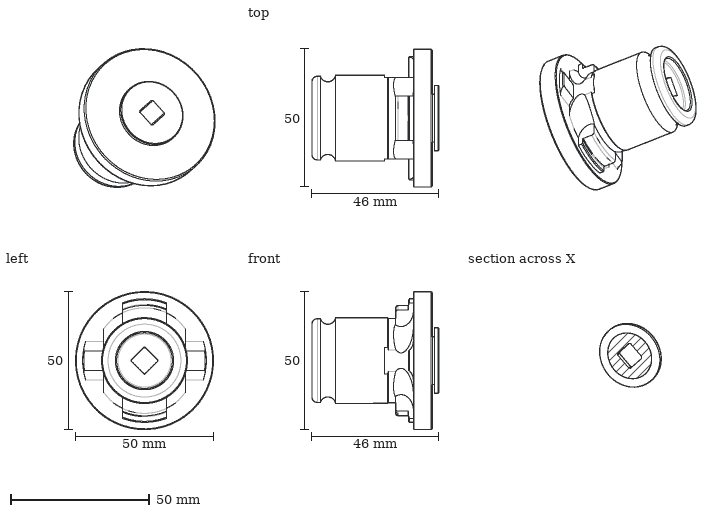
import cadquery as cq
import math

RIM_ROUND = 2.0
GROOVE_START = 3.1
GROOVE_BOTTOM = 5.85
BODY_START = 8.55
FLATS_START = 26.3
BODY_END = 27.4
NECK_START = 27.7
LUG_START = 30.3
STEP_START = 35.0
FLANGE_START = 36.7
FLANGE_END = 43.65
DISC_START = 44.3
TOTAL_LENGTH = 46.0

RIM_RADIUS = 15.2
GROOVE_RADIUS = 13.2
BODY_RADIUS = 15.55
NECK_RADIUS = 15.3
FLANGE_RADIUS = 25.0
LUG_RADIUS = 20.0
STEP_RADIUS = 22.4
SPIGOT_RADIUS = 8.7
DISC_RADIUS = 11.9
EDGE_CHAMFER = 0.3
FLANGE_REAR_CHAMFER = 0.5
STEP_CHAMFER = 0.4

FLAT_HALF_WIDTH = 14.8
LUG_HALF_WIDTH = 8.0
LUG_ROUND = 0.9
LUG_CORNER_ROUND = 0.3

BLEND_RADIUS = 4.4
BLEND_PATH_RADIUS = 25.0
BLEND_FLOOR_RADIUS = 14.35
BLEND_ANGLE = 38.0
FLARE_RADIUS = 19.0

RIB_TOP_HALF_WIDTH = 3.5
RIB_BASE_HALF_WIDTH = 6.95

RECESS_RADIUS = 10.1
RECESS_CHAMFER = 0.45
RECESS_DEPTH = 3.0
RECESS_FLOOR_ROUND = 0.5
SQUARE_SIDE = 7.0
SQUARE_END = 20.0
REAR_CORNER_RADIUS = 4.65
SQUARE_TILT = 45.0


def cylinder(radius, start, end):
    """Cylinder about the X axis between two axial stations."""
    return cq.Workplane("YZ", origin=(start, 0, 0)).circle(radius).extrude(end - start)


def slab(start, end, size_y, size_z):
    """Box centred on the X axis between two axial stations."""
    return cq.Workplane("YZ", origin=(start, 0, 0)).rect(size_y, size_z).extrude(end - start)


def make_body():
    """Rim, retaining groove and cylindrical body, revolved about X."""
    rim_dip = RIM_ROUND * (1 - math.sqrt(0.5))
    profile = (
        cq.Workplane("XY")
        .moveTo(0, 0)
        .lineTo(0, RIM_RADIUS - RIM_ROUND)
        .threePointArc((rim_dip, RIM_RADIUS - rim_dip), (RIM_ROUND, RIM_RADIUS))
        .lineTo(GROOVE_START, RIM_RADIUS)
        .threePointArc((GROOVE_BOTTOM, GROOVE_RADIUS), (BODY_START, BODY_RADIUS))
        .lineTo(BODY_END, BODY_RADIUS)
        .lineTo(NECK_START, NECK_RADIUS)
        .lineTo(FLANGE_START, NECK_RADIUS)
        .lineTo(FLANGE_START, 0)
        .close()
    )
    return profile.revolve(360, (0, 0, 0), (1, 0, 0))


def make_blend_channels():
    """Four round-bottomed channels whose gently curved floors run from the flats to the lugs."""
    centre_x = FLANGE_START - BLEND_RADIUS
    centre_r = BLEND_PATH_RADIUS + BLEND_RADIUS
    outer_r = centre_r + FLARE_RADIUS - BLEND_FLOOR_RADIUS
    ring = (
        cq.Workplane("XY")
        .moveTo(centre_x - BLEND_RADIUS, outer_r)
        .lineTo(centre_x - BLEND_RADIUS, centre_r)
        .threePointArc((centre_x, BLEND_PATH_RADIUS), (FLANGE_START, centre_r))
        .lineTo(FLANGE_START, outer_r)
        .close()
        .revolve(360, (0, 0, 0), (1, 0, 0))
    )
    offset = BLEND_PATH_RADIUS - BLEND_FLOOR_RADIUS
    angle = math.radians(BLEND_ANGLE)
    channels = []
    for side_y in (1, -1):
        for side_z in (1, -1):
            shift = (0, -side_y * offset * math.cos(angle), -side_z * offset * math.sin(angle))
            channels.append(ring.translate(shift))
    return channels


def make_shank():
    """Body with a neck flaring into the flange and two flats facing +Y and -Y."""
    flare = cylinder(FLARE_RADIUS, FLANGE_START - BLEND_RADIUS, FLANGE_START)
    shank = make_body().union(flare)
    for channel in make_blend_channels():
        shank = shank.cut(channel)
    flats_envelope = slab(FLATS_START, FLANGE_START, 2 * FLAT_HALF_WIDTH, 2 * FLANGE_RADIUS)
    front_envelope = cylinder(FLANGE_RADIUS, 0, FLATS_START)
    return shank.intersect(front_envelope.union(flats_envelope))


def make_lugs():
    """Two stepped lugs on the +Z and -Z sides, rounded at the front edge and under the step."""
    corner_start = STEP_START - LUG_CORNER_ROUND
    corner_top = LUG_RADIUS + LUG_CORNER_ROUND
    stepped = (
        cq.Workplane("XY")
        .moveTo(LUG_START, 0)
        .lineTo(LUG_START, LUG_RADIUS - LUG_ROUND)
        .tangentArcPoint((LUG_START + LUG_ROUND, LUG_RADIUS), relative=False)
        .lineTo(corner_start, LUG_RADIUS)
        .tangentArcPoint((STEP_START, corner_top), relative=False)
        .lineTo(STEP_START, STEP_RADIUS - STEP_CHAMFER)
        .lineTo(STEP_START + STEP_CHAMFER, STEP_RADIUS)
        .lineTo(FLANGE_START, STEP_RADIUS)
        .lineTo(FLANGE_START, 0)
        .close()
        .revolve(360, (0, 0, 0), (1, 0, 0))
    )
    width = slab(LUG_START, FLANGE_START, 2 * LUG_HALF_WIDTH, 2 * FLANGE_RADIUS)
    return stepped.intersect(width)


def make_ribs():
    """Two ribs along Y on the flange face, with concave sides tangent to it."""
    height = FLANGE_START - STEP_START
    run = RIB_BASE_HALF_WIDTH - RIB_TOP_HALF_WIDTH
    radius = (run**2 + height**2) / (2 * height)
    half_angle = math.asin(run / radius) / 2
    mid_x = FLANGE_START - radius * (1 - math.cos(half_angle))
    mid_z = RIB_BASE_HALF_WIDTH - radius * math.sin(half_angle)
    section = (
        cq.Workplane("XZ", origin=(0, FLANGE_RADIUS, 0))
        .moveTo(FLANGE_START, -RIB_BASE_HALF_WIDTH)
        .threePointArc((mid_x, -mid_z), (STEP_START, -RIB_TOP_HALF_WIDTH))
        .lineTo(STEP_START, RIB_TOP_HALF_WIDTH)
        .threePointArc((mid_x, mid_z), (FLANGE_START, RIB_BASE_HALF_WIDTH))
        .close()
    )
    envelope = cylinder(STEP_RADIUS, STEP_START, FLANGE_START).faces("<X").edges().chamfer(STEP_CHAMFER)
    middle = slab(STEP_START, FLANGE_START, 2 * FLAT_HALF_WIDTH, 2 * FLANGE_RADIUS)
    return section.extrude(2 * FLANGE_RADIUS).intersect(envelope).cut(middle)


def make_flange():
    """Flange with a spigot and end disc behind it."""
    flange = cylinder(FLANGE_RADIUS, FLANGE_START, FLANGE_END)
    flange = flange.faces("<X").edges().chamfer(EDGE_CHAMFER)
    flange = flange.faces(">X").edges().chamfer(FLANGE_REAR_CHAMFER)
    spigot = cylinder(SPIGOT_RADIUS, FLANGE_END, DISC_START)
    disc = cylinder(DISC_RADIUS, DISC_START, TOTAL_LENGTH).faces(">X").edges().chamfer(EDGE_CHAMFER)
    return flange.union(spigot).union(disc)


def make_recess():
    """Round recess in the front face, with a chamfered mouth and a rounded floor."""
    recess = cylinder(RECESS_RADIUS, 0, RECESS_DEPTH).faces(">X").edges().fillet(RECESS_FLOOR_ROUND)
    mouth = cq.Workplane("XY").add(
        cq.Solid.makeCone(
            RECESS_RADIUS + RECESS_CHAMFER, RECESS_RADIUS, RECESS_CHAMFER, dir=cq.Vector(1, 0, 0)
        )
    )
    return recess.union(mouth)


def make_drive_hole():
    """Square hole standing on its corner; its rear stretch has rounded-off corners."""
    square = slab(0, SQUARE_END, SQUARE_SIDE, SQUARE_SIDE)
    rear = slab(0, TOTAL_LENGTH, SQUARE_SIDE, SQUARE_SIDE)
    rear = rear.intersect(cylinder(REAR_CORNER_RADIUS, 0, TOTAL_LENGTH))
    return square.union(rear).rotate((0, 0, 0), (1, 0, 0), SQUARE_TILT)


solid = make_shank().union(make_flange()).union(make_lugs()).union(make_ribs())
result = solid.cut(make_recess()).cut(make_drive_hole())